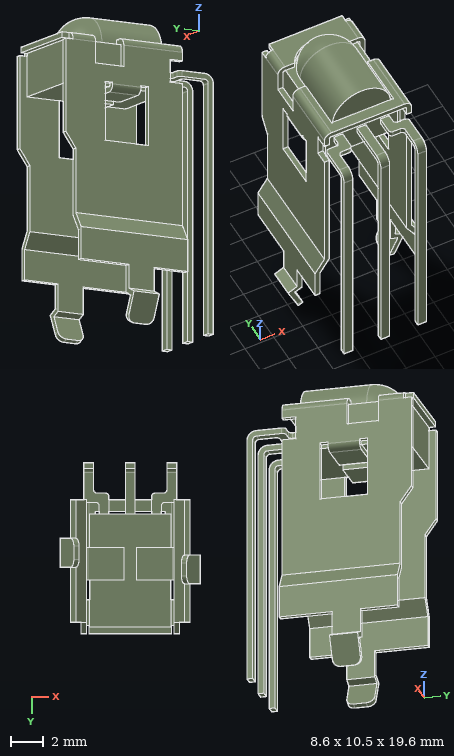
import cadquery as cq
import math


sheet = 0.35
bend_outer_radius = 0.5
bend_inner_radius = bend_outer_radius - sheet
bracket_half_width = 3.02
bracket_top = 17.95
plate_bottom = bracket_top - sheet

flare_half_width = 3.67
flare_top = 6.6
flare_bottom = 5.6
hook_half_width = 4.3
hook_tip_z = 1.8
hook_angle = math.radians(25)
hook_width = 1.79
hook_offset = 0.51
hook_corner_radius = 0.5

upper_depth = 8.22
lower_depth = 7.51
wall_bottom = 3.6
taper_top = 11.62
taper_bottom = 10.63
bend_depth = 7.71

front_slot_depth = 0.86
front_slot_bottom = 15.5
front_slot_top = 16.93
notch_front = 4.14
notch_back = 6.12
notch_bottom = 16.13
window_front = 2.41
window_back = 5.43
window_bottom = 11.36
window_top = 15.05
lens_opening_radius = 2.14
lens_opening_front = 0.73

tab_front = 2.92
tab_back = 4.92
tab_top = 14.87
tab_bottom = tab_top - sheet
tab_tip_x = 0.4
tab_bend_outer_radius = 0.43
tab_bend_inner_radius = tab_bend_outer_radius - sheet

block_half_width = 2.5
block_front = front_slot_depth
block_back = 7.8
block_top = plate_bottom
block_bottom = tab_top
lens_top = 19.62
lens_radius = lens_top - block_top
dome_y = 5.1

lead_pitch = 2.55
lead_width = 0.6
lead_thickness = 0.37
lead_top = 16.36
lead_bottom = 0.05
lead_front = -2.28
lead_bend_radius = 0.6
jog_shift = 0.95
jog_front = -0.41
jog_back = 0.15
jog_radius = 0.22

selection_tolerance = 0.002


def box(x_range, y_range, z_range):
    """Box from its lower and upper limits along each axis."""
    limits = (x_range, y_range, z_range)
    lengths = [high - low for low, high in limits]
    corner = [low for low, high in limits]
    return cq.Workplane("XY").box(*lengths, centered=False).translate(tuple(corner))


def extrude_along_y(points, y_start, y_end):
    """Extrude a closed outline of (x, z) points from y_start to y_end."""
    outline = cq.Workplane("XZ", origin=(0, y_start, 0)).polyline(points).close()
    return outline.extrude(y_start - y_end)


def edges_at(shape, direction, center, reach):
    """Edges along a direction whose centres lie within reach of a point in all axes."""
    low = tuple(c - r for c, r in zip(center, reach))
    high = tuple(c + r for c, r in zip(center, reach))
    return shape.edges(cq.selectors.ParallelDirSelector(cq.Vector(*direction))).edges(
        cq.selectors.BoxSelector(low, high)
    )


def fillet_y_edge(shape, x, z, radius):
    """Round the one straight edge along Y that passes through (x, z)."""
    bounds = shape.val().BoundingBox()
    near = (selection_tolerance, bounds.ylen, selection_tolerance)
    return edges_at(shape, (0, 1, 0), (x, bounds.center.y, z), near).fillet(radius)


def offset_path(points, distance):
    """Parallel copy of an open path, to the right of its travel, with mitred corners."""
    normals = []
    for (x0, z0), (x1, z1) in zip(points, points[1:]):
        length = math.hypot(x1 - x0, z1 - z0)
        normals.append(((z1 - z0) / length, (x0 - x1) / length))
    before = normals[:1] + normals
    after = normals + normals[-1:]
    copy = []
    for (x, z), (ax, az), (bx, bz) in zip(points, before, after):
        scale = distance / (1 + ax * bx + az * bz)
        copy.append((x + scale * (ax + bx), z + scale * (az + bz)))
    return copy


def half_channel():
    """Right half of the bent sheet: top plate, flared wall and hook, at full depth."""
    hook_start_z = hook_tip_z + (hook_half_width - flare_half_width) * math.tan(hook_angle)
    hook_end_x = hook_half_width - hook_tip_z * math.tan(hook_angle)
    outside = [
        (0, bracket_top),
        (bracket_half_width, bracket_top),
        (bracket_half_width, flare_top),
        (flare_half_width, flare_bottom),
        (flare_half_width, hook_start_z),
        (hook_half_width, hook_tip_z),
        (hook_end_x, 0),
    ]
    inside = offset_path(outside, sheet)
    channel = extrude_along_y(outside + inside[::-1], 0, upper_depth)
    channel = fillet_y_edge(channel, bracket_half_width, bracket_top, bend_outer_radius)
    return fillet_y_edge(channel, bracket_half_width - sheet, plate_bottom, bend_inner_radius)


def side_outline(hook_center):
    """Wall and hook outline along X, as a block that covers the right half."""
    hook_front = hook_center - hook_width / 2
    hook_back = hook_center + hook_width / 2
    points = [
        (0, bracket_top),
        (0, wall_bottom),
        (hook_front, wall_bottom),
        (hook_front, 0),
        (hook_back, 0),
        (hook_back, wall_bottom),
        (lower_depth, wall_bottom),
        (lower_depth, taper_bottom),
        (upper_depth, taper_top),
        (upper_depth, bracket_top),
    ]
    return cq.Workplane("YZ").polyline(points).close().extrude(hook_half_width)


def round_hook_end(half, hook_center):
    """Round the two free corners of the hook."""
    across_sheet = (math.cos(hook_angle), 0, -math.sin(hook_angle))
    reach = (hook_half_width, hook_width, hook_tip_z / 2)
    ends = edges_at(half, across_sheet, (hook_half_width, hook_center, 0), reach)
    return ends.fillet(hook_corner_radius)


def wall_openings():
    """Front slot, top notch, window and corner relief of the right wall."""
    outside = hook_half_width
    bend_start_x = bracket_half_width - bend_outer_radius
    bend_end_z = bracket_top - bend_outer_radius
    wall_x = (bend_start_x, outside)
    slot = box(wall_x, (0, front_slot_depth), (front_slot_bottom, front_slot_top))
    notch = box((0, outside), (notch_front, notch_back), (notch_bottom, bracket_top))
    window = box(wall_x, (window_front, window_back), (window_bottom, window_top))
    relief = box(wall_x, (bend_depth, upper_depth), (bend_end_z, bracket_top))
    return slot.union(notch).union(window).union(relief)


def support_tab():
    """Tab that hangs from the window's top edge and bends inward under the block."""
    inner_x = bracket_half_width - sheet
    points = [
        (bracket_half_width, window_top),
        (bracket_half_width, tab_bottom),
        (tab_tip_x, tab_bottom),
        (tab_tip_x, tab_top),
        (inner_x, tab_top),
        (inner_x, window_top),
    ]
    tab = extrude_along_y(points, tab_front, tab_back)
    tab = fillet_y_edge(tab, bracket_half_width, tab_bottom, tab_bend_outer_radius)
    return fillet_y_edge(tab, inner_x, tab_top, tab_bend_inner_radius)


def bracket_half(hook_center):
    """Right half of the bracket, with its hook centred at the given Y."""
    half = half_channel().intersect(side_outline(hook_center))
    half = round_hook_end(half, hook_center)
    return half.cut(wall_openings()).union(support_tab())


def lens_opening():
    """Opening in the top plate: straight sides and front, half-round back."""
    sides = (-lens_opening_radius, lens_opening_radius)
    straight = box(sides, (lens_opening_front, dome_y), (plate_bottom, bracket_top))
    round_end = cq.Workplane("XY", origin=(0, dome_y, plate_bottom)).circle(lens_opening_radius)
    return straight.union(round_end.extrude(sheet))


def make_bracket():
    """Whole bracket; the hooks of the two walls are staggered along Y."""
    right = bracket_half(lower_depth / 2 + hook_offset)
    left = bracket_half(lower_depth / 2 - hook_offset).mirror("YZ")
    return right.union(left).cut(lens_opening())


def make_block():
    """Plain receiver block between the top plate and the support tabs."""
    sides = (-block_half_width, block_half_width)
    return box(sides, (block_front, block_back), (block_bottom, block_top))


def make_lens():
    """Half-round lens lying along Y on top of the block, with a domed back end."""
    diagonal = math.sqrt(0.5) * lens_radius
    flat_face = (
        cq.Workplane("XY", origin=(0, 0, block_top))
        .moveTo(0, block_front)
        .lineTo(lens_radius, block_front)
        .lineTo(lens_radius, dome_y)
        .threePointArc((diagonal, dome_y + diagonal), (0, dome_y + lens_radius))
        .close()
    )
    return flat_face.revolve(180, (0, 0, 0), (0, -1, 0))


def lead_strip(x_low, x_high):
    """Strip that leaves the block, bends down and runs to its lower end."""
    path = [
        (block_front, lead_top),
        (lead_front, lead_top),
        (lead_front, lead_bottom),
        (lead_front + lead_thickness, lead_bottom),
        (lead_front + lead_thickness, lead_top - lead_thickness),
        (block_front, lead_top - lead_thickness),
    ]
    strip = cq.Workplane("YZ", origin=(x_low, 0, 0)).polyline(path).close().extrude(x_high - x_low)
    strip = strip.edges("|X and <Y and >Z").fillet(lead_bend_radius)
    near = (x_high - x_low, selection_tolerance, selection_tolerance)
    corner = (x_low, lead_front + lead_thickness, lead_top - lead_thickness)
    return edges_at(strip, (1, 0, 0), corner, near).fillet(lead_bend_radius - lead_thickness)


def make_center_lead():
    """Straight middle lead."""
    return lead_strip(-lead_width / 2, lead_width / 2)


def make_side_lead():
    """Right-hand lead, which steps outward just in front of the block."""
    outer_low = lead_pitch - lead_width / 2
    outer_high = lead_pitch + lead_width / 2
    inner_low = outer_low - jog_shift
    inner_high = outer_high - jog_shift
    plan = [
        (inner_low, block_front),
        (inner_low, jog_front),
        (outer_low, jog_front),
        (outer_low, lead_front),
        (outer_high, lead_front),
        (outer_high, jog_back),
        (inner_high, jog_back),
        (inner_high, block_front),
    ]
    outline = cq.Workplane("XY").polyline(plan).close().extrude(lead_top)
    jog_center = (lead_pitch - jog_shift / 2, (jog_front + jog_back) / 2, lead_top / 2)
    reach = (lead_pitch, jog_back - jog_front, lead_top)
    outline = edges_at(outline, (0, 0, 1), jog_center, reach).fillet(jog_radius)
    return lead_strip(inner_low, outer_high).intersect(outline)


bracket = make_bracket()
block = make_block()
lens = make_lens()
right_lead = make_side_lead()
leads = [make_center_lead(), right_lead, right_lead.mirror("YZ")]

result = cq.Compound.makeCompound(
    [bracket.val(), block.val(), lens.val()] + [lead.val() for lead in leads]
)